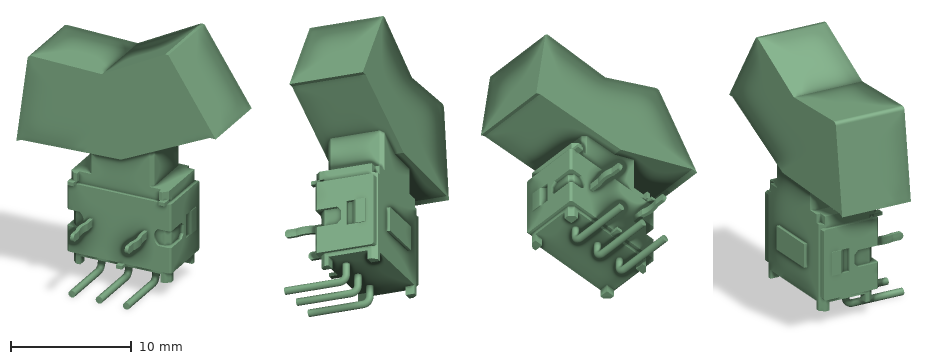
import cadquery as cq
import math


ROCKER_WIDTH = 6.6
ROCKER_LOWER_BEND = (0.45, 10.9)
ROCKER_ROUNDED_CORNER = (-8.2, 18.63)
ROCKER_OUTLINE = [
    (-9.28, 10.48),
    (-8.85, 10.68),
    ROCKER_LOWER_BEND,
    (8.7, 14.72),
    (9.24, 14.7),
    (4.83, 21.5),
    (4.54, 21.5),
    (-1.33, 18.38),
    ROCKER_ROUNDED_CORNER,
]
ROCKER_CORNER_RADIUS = 0.34
STEM_LENGTH = 6.0
STEM_CHAMFER = 0.32
STEM_EMBED = 2.7

CORE_LENGTH = 9.03
CORE_DEPTH = 5.05
CORE_CHAMFER = 0.4
FOOT_SIZE = 0.8
FOOT_HEIGHT = 0.77
CORE_TOP = 7.8
HOUSING_TOP = 8.55

FLANGE_FRONT_OVERHANG = 0.45
FLANGE_BACK_SETBACK = 0.38
FLANGE_STRIP_LENGTH = 7.59

SHEET = 0.32
FRAME_BOTTOM = 1.13
FRAME_TOP = 7.5
FRAME_BACK_SETBACK = 0.11
FRAME_EDGE_CHAMFER = 0.18
FRAME_BACK_CORNER = 0.14

SLOT_HEIGHT = 1.54
SLOT_FRONT_X = 3.25
SLOT_SIDE_Y = -0.5
SLOT_TIP_BOW = 0.38
SLOT_TIP_CHAMFER = 0.35
SLOT_MIDDLE_Z = 4.25
WINDOW_HEIGHT = 2.12
WINDOW_BACK_Y = 1.7
WINDOW_FRONT_Y = -0.02
SNAP_CREST_Y = 0.84
SNAP_FOOT_Y = 0.38
SNAP_PROUD = 0.08
BACK_PAD_LENGTH = 4.52

TAB_WIDTH = 0.56
TAB_REACH = 0.81
LOWER_TAB_X = 0.27

PITCH = 2.53
SUPPORT_HEIGHT = 0.68
SUPPORT_BULGE = 0.14
SUPPORT_BULGE_START_Y = -3.84
SUPPORT_BULGE_END_Y = -5.45
SUPPORT_TIP_BOW = 0.23

PIN_DIAMETER = 0.63
PIN_Y = -1.0
PIN_BEND_RADIUS = 0.6
PIN_AXIS_Z = -0.77
TERMINAL_END_Y = -6.44

CORE_FRONT_Y = -CORE_DEPTH / 2
CORE_BACK_Y = CORE_DEPTH / 2
CORE_END_X = CORE_LENGTH / 2
FRAME_FRONT_Y = CORE_FRONT_Y - SHEET
FRAME_BACK_Y = CORE_BACK_Y - FRAME_BACK_SETBACK
FRAME_END_X = CORE_END_X + SHEET
FRAME_MIDDLE_Z = (FRAME_BOTTOM + FRAME_TOP) / 2


def block(x_range, y_range, z_range):
    """Box between the given limits."""
    length = x_range[1] - x_range[0]
    depth = y_range[1] - y_range[0]
    height = z_range[1] - z_range[0]
    return cq.Workplane().box(length, depth, height, centered=False).translate(
        (x_range[0], y_range[0], z_range[0])
    )


def centred_block(length, y_range, z_range):
    """Box centred on X = 0."""
    return block((-length / 2, length / 2), y_range, z_range)


def mirrored_pair(shape):
    """The shape and its copy on the other side of X = 0."""
    return shape.union(shape.mirror("YZ"))


def bowed_outline(plane, middle_z, height, tip, end, bow):
    """Bar outline in an upright plane, with an arc bulging to its tip and a square end."""
    half_height = height / 2
    shoulder = tip + math.copysign(bow, end - tip)
    return (
        cq.Workplane(plane, origin=(0, 0, middle_z))
        .moveTo(end, -half_height)
        .lineTo(shoulder, -half_height)
        .threePointArc((tip, 0), (shoulder, half_height))
        .lineTo(end, half_height)
        .close()
    )


def make_rocker():
    """Bent rocker with the upright stem that stands on the housing."""
    cap = (
        cq.Workplane("XZ")
        .polyline(ROCKER_OUTLINE)
        .close()
        .extrude(ROCKER_WIDTH / 2, both=True)
    )
    corner_x, corner_z = ROCKER_ROUNDED_CORNER
    cap_corner = cq.selectors.NearestToPointSelector((corner_x, 0, corner_z))
    cap = cap.edges(cap_corner).fillet(ROCKER_CORNER_RADIUS)
    _, lower_bend_z = ROCKER_LOWER_BEND
    stem = centred_block(
        STEM_LENGTH, (CORE_FRONT_Y, CORE_BACK_Y), (HOUSING_TOP, lower_bend_z + STEM_EMBED)
    )
    return cap.union(stem.edges("|Z").chamfer(STEM_CHAMFER))


def make_core():
    """Chamfered block standing on four corner feet."""
    core = centred_block(CORE_LENGTH, (CORE_FRONT_Y, CORE_BACK_Y), (0, CORE_TOP))
    core = core.edges("|Z").chamfer(CORE_CHAMFER)
    foot_gap_x = CORE_LENGTH - 2 * FOOT_SIZE
    foot_gap_y = CORE_BACK_Y - FOOT_SIZE
    core = core.cut(centred_block(foot_gap_x, (CORE_FRONT_Y, CORE_BACK_Y), (0, FOOT_HEIGHT)))
    return core.cut(centred_block(CORE_LENGTH, (-foot_gap_y, foot_gap_y), (0, FOOT_HEIGHT)))


def make_flange():
    """Top flange: two end blocks that overhang the front, joined by a strip flush with the core."""
    flange_z = (CORE_TOP, HOUSING_TOP)
    ends = centred_block(
        CORE_LENGTH,
        (CORE_FRONT_Y - FLANGE_FRONT_OVERHANG, CORE_BACK_Y - FLANGE_BACK_SETBACK),
        flange_z,
    )
    ends = ends.edges("|Z and <Y").chamfer(CORE_CHAMFER)
    recess = centred_block(
        FLANGE_STRIP_LENGTH, (CORE_FRONT_Y - FLANGE_FRONT_OVERHANG, CORE_FRONT_Y), flange_z
    )
    strip = centred_block(FLANGE_STRIP_LENGTH, (CORE_FRONT_Y, CORE_BACK_Y), flange_z)
    return ends.cut(recess).union(strip)


def make_corner_slot():
    """Cutter for the slot around the right front corner: bowed front tip, chamfered side tip."""
    cut_depth = SHEET + CORE_CHAMFER
    front = bowed_outline("XZ", SLOT_MIDDLE_Z, SLOT_HEIGHT, SLOT_FRONT_X, FRAME_END_X, SLOT_TIP_BOW)
    front = front.extrude(-cut_depth).translate((0, FRAME_FRONT_Y, 0))
    side = block(
        (FRAME_END_X - cut_depth, FRAME_END_X),
        (FRAME_FRONT_Y, SLOT_SIDE_Y),
        (SLOT_MIDDLE_Z - SLOT_HEIGHT / 2, SLOT_MIDDLE_Z + SLOT_HEIGHT / 2),
    )
    return front.union(side.edges("|X and >Y").chamfer(SLOT_TIP_CHAMFER))


def make_frame(core_envelope):
    """Sheet frame with corner slots and end windows, hollow where the core fills it."""
    frame = centred_block(
        2 * FRAME_END_X, (FRAME_FRONT_Y, FRAME_BACK_Y), (FRAME_BOTTOM, FRAME_TOP)
    )
    frame = frame.edges("|Z and <Y").chamfer(FRAME_EDGE_CHAMFER)
    frame = frame.edges("|X and >Y").chamfer(FRAME_BACK_CORNER)
    frame = frame.cut(core_envelope)
    corner_slot = make_corner_slot()
    window = block(
        (CORE_END_X, FRAME_END_X),
        (WINDOW_FRONT_Y, WINDOW_BACK_Y),
        (FRAME_MIDDLE_Z - WINDOW_HEIGHT / 2, FRAME_MIDDLE_Z + WINDOW_HEIGHT / 2),
    )
    return frame.cut(mirrored_pair(corner_slot.union(window)))


def make_snaps():
    """Ramped catches that fill the end windows, and the pad on the back."""
    crest_x = FRAME_END_X + SNAP_PROUD
    snap = (
        cq.Workplane("XY", origin=(0, 0, FRAME_MIDDLE_Z))
        .polyline([
            (CORE_END_X, SNAP_FOOT_Y),
            (crest_x, SNAP_CREST_Y),
            (crest_x, WINDOW_BACK_Y),
            (CORE_END_X, WINDOW_BACK_Y),
        ])
        .close()
        .extrude(WINDOW_HEIGHT / 2, both=True)
    )
    back_pad = centred_block(
        BACK_PAD_LENGTH,
        (CORE_BACK_Y, CORE_BACK_Y + SHEET),
        (FRAME_MIDDLE_Z - WINDOW_HEIGHT / 2, FRAME_MIDDLE_Z + WINDOW_HEIGHT / 2),
    )
    return mirrored_pair(snap).union(back_pad)


def make_tab(centre_x, bottom_z):
    """Stand-off tab that projects from the front of the core."""
    return block(
        (centre_x - TAB_WIDTH / 2, centre_x + TAB_WIDTH / 2),
        (CORE_FRONT_Y - TAB_REACH, CORE_FRONT_Y),
        (bottom_z, bottom_z + SHEET),
    )


def make_support_terminal():
    """Right-hand flat terminal, bowed outward in the middle, with a bowed tip."""
    inner_x = PITCH - SHEET / 2
    outer_x = PITCH + SHEET / 2
    bow_middle_y = (SUPPORT_BULGE_START_Y + SUPPORT_BULGE_END_Y) / 2
    terminal = (
        cq.Workplane("XY", origin=(0, 0, FRAME_MIDDLE_Z))
        .moveTo(inner_x, CORE_FRONT_Y)
        .lineTo(inner_x, SUPPORT_BULGE_START_Y)
        .threePointArc((inner_x + SUPPORT_BULGE, bow_middle_y), (inner_x, SUPPORT_BULGE_END_Y))
        .lineTo(inner_x, TERMINAL_END_Y)
        .lineTo(outer_x, TERMINAL_END_Y)
        .lineTo(outer_x, SUPPORT_BULGE_END_Y)
        .threePointArc((outer_x + SUPPORT_BULGE, bow_middle_y), (outer_x, SUPPORT_BULGE_START_Y))
        .lineTo(outer_x, CORE_FRONT_Y)
        .close()
        .extrude(SUPPORT_HEIGHT / 2, both=True)
    )
    side_outline = bowed_outline(
        "YZ", FRAME_MIDDLE_Z, SUPPORT_HEIGHT, TERMINAL_END_Y, CORE_FRONT_Y, SUPPORT_TIP_BOW
    )
    return terminal.intersect(side_outline.extrude(FRAME_END_X))


def make_housing():
    """Core, flange, sheet frame, catches, tabs and support terminals in one body."""
    core = make_core()
    housing = core.union(make_flange()).union(make_frame(core)).union(make_snaps())
    upper_tab = make_tab(CORE_END_X - TAB_WIDTH / 2, FRAME_TOP)
    lower_tab = make_tab(LOWER_TAB_X, FRAME_BOTTOM - SHEET)
    housing = housing.union(mirrored_pair(upper_tab)).union(lower_tab)
    return housing.union(mirrored_pair(make_support_terminal()))


def make_pin(x):
    """Round contact pin that leaves the underside of the core and bends to the front."""
    bend_z = PIN_AXIS_Z + PIN_BEND_RADIUS
    bend_y = PIN_Y - PIN_BEND_RADIUS
    axis = (
        cq.Workplane("YZ", origin=(x, 0, 0))
        .moveTo(PIN_Y, FOOT_HEIGHT)
        .lineTo(PIN_Y, bend_z)
        .radiusArc((bend_y, PIN_AXIS_Z), PIN_BEND_RADIUS)
        .lineTo(TERMINAL_END_Y, PIN_AXIS_Z)
    )
    return (
        cq.Workplane("XY", origin=(x, PIN_Y, FOOT_HEIGHT)).circle(PIN_DIAMETER / 2).sweep(axis)
    )


rocker = make_rocker()
housing = make_housing()
pins = [make_pin(x) for x in (-PITCH, 0, PITCH)]

result = cq.Compound.makeCompound([rocker.val(), housing.val(), *(pin.val() for pin in pins)])